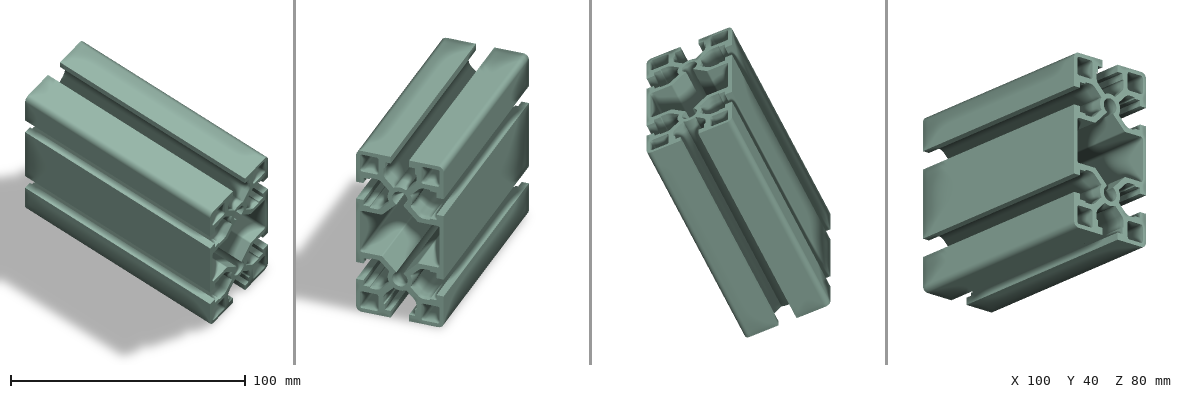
import cadquery as cq

length = 100.0
cell = 40.0
width = cell
height = 2 * cell
outer_radius = 2.5

bore_radius = 3.5
ring_radius = 5.6

slot_mouth = 8.4
slot_step_width = 13.6
slot_inner_width = 15.0
lip_depth = 3.3
step_depth = 6.2
step_radius = 0.5
slot_floor_radius = 3.5

web_slot_offset = 2.0
web_chamber_offset = 1.5

wall = 1.8
pocket_size = 8.4
hollow_radius = 1.0
chamber_bend_radius = 1.0
chamber_reach = 9.7

half_cell = cell / 2
bore_heights = (-half_cell, half_cell)


def prism(sketch):
    """Extrude a YZ outline over the full length, centred on X = 0."""
    return sketch.extrude(length / 2, both=True)


def section(y=0.0, z=0.0):
    return cq.Workplane("YZ").center(y, z)


def round_edge(body, y, z, radius):
    """Fillet the lengthwise edge that passes through (y, z)."""
    return body.edges(cq.NearestToPointSelector((0, y, z))).fillet(radius)


def slot_cutter():
    """T-slot opening toward +Y from a bore centre at the origin, stopping at the ring."""
    lip = half_cell - lip_depth
    step = half_cell - step_depth
    floor = slot_inner_width / 2 + web_slot_offset
    upper = [
        (half_cell, slot_mouth / 2),
        (lip, slot_mouth / 2),
        (lip, slot_step_width / 2),
        (step, slot_step_width / 2),
        (step, slot_inner_width / 2),
        (floor, slot_inner_width / 2),
    ]
    floor_tip = (web_slot_offset, 0)
    lower = [(y, -z) for y, z in reversed(upper)]
    slot = prism(section().polyline(upper + [floor_tip] + lower).close())
    for side in (-1, 1):
        wall_z = side * slot_inner_width / 2
        slot = round_edge(slot, step, wall_z, step_radius)
        slot = round_edge(slot, floor, wall_z, slot_floor_radius)
    return slot.cut(prism(section().circle(ring_radius)))


def corner_pocket(y_side, z_side):
    """Square hollow with rounded edges, in an outer corner of the profile."""
    y = y_side * (width / 2 - wall - pocket_size / 2)
    z = z_side * (height / 2 - wall - pocket_size / 2)
    return prism(section(y, z).rect(pocket_size, pocket_size)).edges("|X").fillet(hollow_radius)


def chamber():
    """Central hollow, with a V-shaped throat leading into each bore."""
    chamber_height = 2 * (half_cell - chamber_reach)
    hollow = prism(section().rect(width - 2 * wall, chamber_height)).edges("|X").fillet(hollow_radius)
    throat_half_width = chamber_reach - web_chamber_offset
    throat_tip = half_cell - web_chamber_offset
    throats = section().polyline([
        (0, throat_tip),
        (throat_half_width, chamber_height / 2),
        (throat_half_width, -chamber_height / 2),
        (0, -throat_tip),
        (-throat_half_width, -chamber_height / 2),
        (-throat_half_width, chamber_height / 2),
    ]).close()
    hollow = hollow.union(prism(throats))
    for y in (-throat_half_width, throat_half_width):
        for z in (-chamber_height / 2, chamber_height / 2):
            hollow = round_edge(hollow, y, z, chamber_bend_radius)
    return hollow


result = prism(section().rect(width, height)).edges("|X").fillet(outer_radius)

slot = slot_cutter()
for bore_z in bore_heights:
    result = result.cut(prism(section(0, bore_z).circle(bore_radius)))
    end_angle = 90 if bore_z > 0 else -90
    for angle in (0, 180, end_angle):
        turned_slot = slot.rotate((0, 0, 0), (1, 0, 0), angle)
        result = result.cut(turned_slot.translate((0, 0, bore_z)))

for y_side in (-1, 1):
    for z_side in (-1, 1):
        result = result.cut(corner_pocket(y_side, z_side))

result = result.cut(chamber())